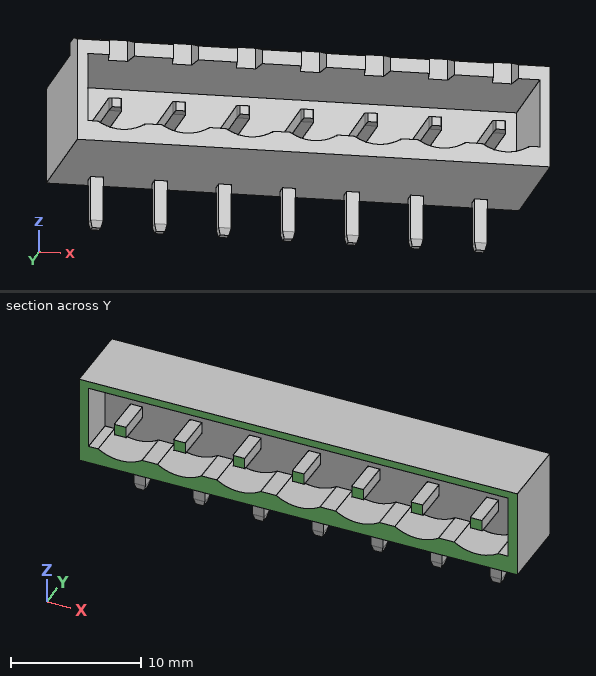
import cadquery as cq
import math

LENGTH = 37.0
DEPTH = 12.0
HEIGHT = 8.6
LIP_STEP = 1.0
LIP_DEPTH = 3.0
SLOPE_DROP = 0.55
SLOPE_DEPTH = 1.48

PIN_COUNT = 7
ROW_MARGIN = 3.48
PITCH = (LENGTH - 2 * ROW_MARGIN) / (PIN_COUNT - 1)
PIN_POSITIONS = [(i - (PIN_COUNT - 1) / 2) * PITCH for i in range(PIN_COUNT)]

END_WALL = 0.8
TOP_WALL = 1.65
FLOOR_HEIGHT = 1.55
BACK_WALL = 3.0
CAVITY_DEPTH = DEPTH - BACK_WALL
SCALLOP_WIDTH = 3.7
SCALLOP_SAG = 0.55

NOTCH_FRONT_WIDTH = 1.95
NOTCH_BACK_WIDTH = 1.5

PIN_SIZE = 1.0
TIP_SIZE = 0.7
TIP_LENGTH = 0.55
TIP_TAPER = math.degrees(math.atan((PIN_SIZE - TIP_SIZE) / 2 / TIP_LENGTH))
PIN_HEIGHT = 3.75
PIN_RECESS = 2.0
LEG_INSET = 1.95
LEG_Y = DEPTH - LEG_INSET
LEG_LENGTH = 4.05


def make_housing():
    """Side profile with the raised, sloped lip, extruded along the length."""
    rear_top = HEIGHT - LIP_STEP
    profile = [
        (0, 0),
        (DEPTH, 0),
        (DEPTH, rear_top),
        (LIP_DEPTH, rear_top),
        (LIP_DEPTH, HEIGHT),
        (SLOPE_DEPTH, HEIGHT),
        (0, HEIGHT - SLOPE_DROP),
    ]
    return cq.Workplane("YZ").polyline(profile).close().extrude(LENGTH / 2, both=True)


def make_cavity():
    """Front opening whose floor dips in a shallow arc below each pin."""
    half_width = LENGTH / 2 - END_WALL
    ceiling = HEIGHT - TOP_WALL
    outline = cq.Workplane("XZ").moveTo(-half_width, ceiling).lineTo(-half_width, FLOOR_HEIGHT)
    for x in PIN_POSITIONS:
        outline = outline.lineTo(x - SCALLOP_WIDTH / 2, FLOOR_HEIGHT)
        outline = outline.threePointArc(
            (x, FLOOR_HEIGHT - SCALLOP_SAG),
            (x + SCALLOP_WIDTH / 2, FLOOR_HEIGHT),
        )
    outline = outline.lineTo(half_width, FLOOR_HEIGHT).lineTo(half_width, ceiling).close()
    return outline.extrude(-CAVITY_DEPTH)


def make_notch(x):
    """Flared notch from the cavity ceiling up through the sloped part of the lip."""
    outline = [
        (x - NOTCH_FRONT_WIDTH / 2, 0),
        (x + NOTCH_FRONT_WIDTH / 2, 0),
        (x + NOTCH_BACK_WIDTH / 2, SLOPE_DEPTH),
        (x - NOTCH_BACK_WIDTH / 2, SLOPE_DEPTH),
    ]
    base = cq.Workplane("XY").workplane(offset=HEIGHT - TOP_WALL)
    return base.polyline(outline).close().extrude(TOP_WALL)


def make_bar(plane, length):
    """Square bar along the plane's normal, ending in a tapered tip; length includes the tip."""
    bar = cq.Workplane(plane).rect(PIN_SIZE, PIN_SIZE).extrude(length - TIP_LENGTH)
    tip = (
        cq.Workplane(plane)
        .workplane(offset=length - TIP_LENGTH)
        .rect(PIN_SIZE, PIN_SIZE)
        .extrude(TIP_LENGTH, taper=TIP_TAPER)
    )
    return bar.union(tip)


def make_pin(x):
    """Right-angle pin: a contact pointing forward and a solder leg pointing down."""
    corner = (x, LEG_Y, PIN_HEIGHT)
    bend = cq.Workplane("XY").box(PIN_SIZE, PIN_SIZE, PIN_SIZE).translate(corner)
    contact = make_bar(cq.Plane(corner, (1, 0, 0), (0, -1, 0)), LEG_Y - PIN_RECESS)
    leg = make_bar(cq.Plane(corner, (1, 0, 0), (0, 0, -1)), PIN_HEIGHT + LEG_LENGTH)
    return bend.union(contact).union(leg)


result = make_housing().cut(make_cavity())
for pin_x in PIN_POSITIONS:
    result = result.cut(make_notch(pin_x)).union(make_pin(pin_x))